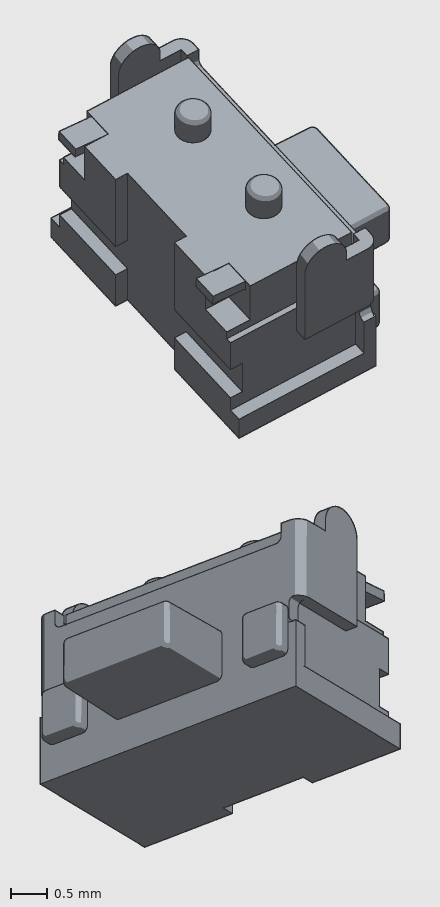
import cadquery as cq
import math


BODY_HEIGHT = 2.64
BODY_DEPTH = 2.3
BODY_WIDTH = 4.085
BODY_TOP_WIDTH = 3.9
SHOULDER_Z = 1.8
BASE_WIDTH = 4.49
BASE_LEDGE_Z = 0.395
FRONT_RECESS = 0.2
RECESS_WIDTH = 1.405
GROOVE_BOTTOM = 0.65
GROOVE_TOP = 1.24

SHELL_WIDTH = 4.65
SHEET_THICKNESS = 0.2
ARM_BOTTOM = 1.44
ARM_FRONT_Y = 1.05
TAB_WIDTH = 0.698
TAB_TOP = 3.15
SIDE_NOTCH_BOTTOM = 1.04
OPENING_WIDTH = 3.975
OPENING_BOTTOM = 2.35

EDGE_RADIUS = 0.098

BUTTON_BOTTOM = 0.545
BUTTON_TOP = 1.345
BUTTON_WIDTH = 1.895
BUTTON_LENGTH = 1.195
BUTTON_DRAFT = 0.8
BUMP_WIDTH = 0.695
BUMP_LENGTH = 0.2
BUMP_X = 1.762

PEG_RADIUS = 0.25
PEG_TOP = 3.05
PEG_X = 0.845
PEG_Y = 1.4
PEG_ROUND = 0.098

LEAD_INNER_X = 1.44
LEAD_WIDTH = 0.4
LEAD_LENGTH = 0.515
LEAD_THICKNESS = 0.155
LEAD_BEND_RADIUS = 0.045
LEAD_BEND_Z = 2.44
LEAD_TILT = 4.5
POCKET_DEPTH = 0.395
POCKET_FLOOR = 1.94


def block(x_min, x_max, y_min, y_max, z_min, z_max):
    """Box given by its limits."""
    size = (x_max - x_min, y_max - y_min, z_max - z_min)
    return cq.Workplane("XY").box(*size, centered=False).translate((x_min, y_min, z_min))


def centred_block(width, y_min, y_max, z_min, z_max):
    """Box centred on X = 0."""
    return block(-width / 2, width / 2, y_min, y_max, z_min, z_max)


def both_sides(shape):
    """A shape at +X together with its mirror image at -X."""
    return shape.union(shape.mirror("YZ"))


def make_body():
    inner_back = BODY_DEPTH - SHEET_THICKNESS
    body = centred_block(BASE_WIDTH, 0, BODY_DEPTH, 0, BASE_LEDGE_Z)
    body = body.union(centred_block(BODY_WIDTH, 0, inner_back, 0, SHOULDER_Z))
    body = body.union(centred_block(BODY_TOP_WIDTH, 0, inner_back, 0, BODY_HEIGHT))
    upright = centred_block(RECESS_WIDTH, 0, FRONT_RECESS, 0, BODY_HEIGHT)
    level = centred_block(BASE_WIDTH, 0, FRONT_RECESS, GROOVE_BOTTOM, GROOVE_TOP)
    pocket = block(LEAD_INNER_X, BODY_TOP_WIDTH / 2, 0, POCKET_DEPTH, POCKET_FLOOR, BODY_HEIGHT)
    return body.cut(upright).cut(level).cut(both_sides(pocket))


def make_back_plate():
    """Back plate with bends at both ends, side notches and an open top."""
    half_width = SHELL_WIDTH / 2
    inner_y = BODY_DEPTH - SHEET_THICKNESS
    arm_inner_x = half_width - SHEET_THICKNESS
    plate = (
        cq.Workplane("XY", origin=(0, 0, SIDE_NOTCH_BOTTOM))
        .moveTo(-half_width, inner_y)
        .lineTo(half_width, inner_y)
        .radiusArc((arm_inner_x, BODY_DEPTH), -SHEET_THICKNESS)
        .lineTo(-arm_inner_x, BODY_DEPTH)
        .radiusArc((-half_width, inner_y), -SHEET_THICKNESS)
        .close()
        .extrude(BODY_HEIGHT - SIDE_NOTCH_BOTTOM)
    )
    lower = centred_block(BASE_WIDTH, inner_y, BODY_DEPTH, 0, SIDE_NOTCH_BOTTOM)
    notch = block(arm_inner_x, half_width, inner_y, BODY_DEPTH, SIDE_NOTCH_BOTTOM, ARM_BOTTOM)
    notch = notch.edges("|Y and <X").fillet(EDGE_RADIUS)
    opening = centred_block(OPENING_WIDTH, inner_y, BODY_DEPTH, OPENING_BOTTOM, BODY_HEIGHT)
    opening = opening.edges("|Y and <Z").fillet(EDGE_RADIUS)
    return plate.union(lower).cut(both_sides(notch)).cut(opening)


def make_arms():
    """End arms, each with a round-topped tab at its front."""
    radius = TAB_WIDTH / 2
    tab_back_y = ARM_FRONT_Y + TAB_WIDTH
    inner_y = BODY_DEPTH - SHEET_THICKNESS
    arm = (
        cq.Workplane("YZ")
        .moveTo(ARM_FRONT_Y, ARM_BOTTOM)
        .lineTo(inner_y, ARM_BOTTOM)
        .lineTo(inner_y, BODY_HEIGHT)
        .lineTo(tab_back_y, BODY_HEIGHT)
        .lineTo(tab_back_y, TAB_TOP - radius)
        .threePointArc((ARM_FRONT_Y + radius, TAB_TOP), (ARM_FRONT_Y, TAB_TOP - radius))
        .close()
        .extrude(SHEET_THICKNESS)
        .translate((SHELL_WIDTH / 2 - SHEET_THICKNESS, 0, 0))
    )
    return both_sides(arm)


def make_button():
    mid_z = (BUTTON_BOTTOM + BUTTON_TOP) / 2
    button = (
        cq.Workplane("XZ", origin=(0, BODY_DEPTH, mid_z))
        .rect(BUTTON_WIDTH, BUTTON_TOP - BUTTON_BOTTOM)
        .extrude(-BUTTON_LENGTH, taper=BUTTON_DRAFT)
    )
    return button.edges("not <Y").fillet(EDGE_RADIUS)


def make_bumps():
    bump = block(
        BUMP_X - BUMP_WIDTH / 2,
        BUMP_X + BUMP_WIDTH / 2,
        BODY_DEPTH,
        BODY_DEPTH + BUMP_LENGTH,
        BUTTON_BOTTOM,
        BUTTON_TOP,
    )
    return both_sides(bump.edges("not <Y").fillet(EDGE_RADIUS))


def make_pegs():
    peg = (
        cq.Workplane("XY", origin=(PEG_X, PEG_Y, BODY_HEIGHT))
        .circle(PEG_RADIUS)
        .extrude(PEG_TOP - BODY_HEIGHT)
        .faces(">Z")
        .edges()
        .fillet(PEG_ROUND)
    )
    return both_sides(peg)


def make_leads():
    """Flat leads that bend out of the pocket wall and rise towards the front."""
    outer_radius = LEAD_BEND_RADIUS + LEAD_THICKNESS
    bend_y = POCKET_DEPTH - LEAD_BEND_RADIUS

    def lead_point(radius, angle, forward=0):
        """Point at an angle from vertical around the bend, then moved out along the straight part."""
        tilt = math.radians(LEAD_TILT)
        turn = math.radians(angle)
        y = bend_y + radius * math.sin(turn) - forward * math.cos(tilt)
        z = LEAD_BEND_Z + radius * math.cos(turn) + forward * math.sin(tilt)
        return (y, z)

    bend_middle = (LEAD_TILT + 90) / 2
    lead = (
        cq.Workplane("YZ", origin=(LEAD_INNER_X, 0, 0))
        .moveTo(*lead_point(LEAD_BEND_RADIUS, 90))
        .threePointArc(lead_point(LEAD_BEND_RADIUS, bend_middle), lead_point(LEAD_BEND_RADIUS, LEAD_TILT))
        .lineTo(*lead_point(LEAD_BEND_RADIUS, LEAD_TILT, LEAD_LENGTH))
        .lineTo(*lead_point(outer_radius, LEAD_TILT, LEAD_LENGTH))
        .lineTo(*lead_point(outer_radius, LEAD_TILT))
        .threePointArc(lead_point(outer_radius, bend_middle), lead_point(outer_radius, 90))
        .close()
        .extrude(LEAD_WIDTH)
    )
    return both_sides(lead)


result = make_body()
for feature in (make_back_plate, make_arms, make_button, make_bumps, make_pegs, make_leads):
    result = result.union(feature())